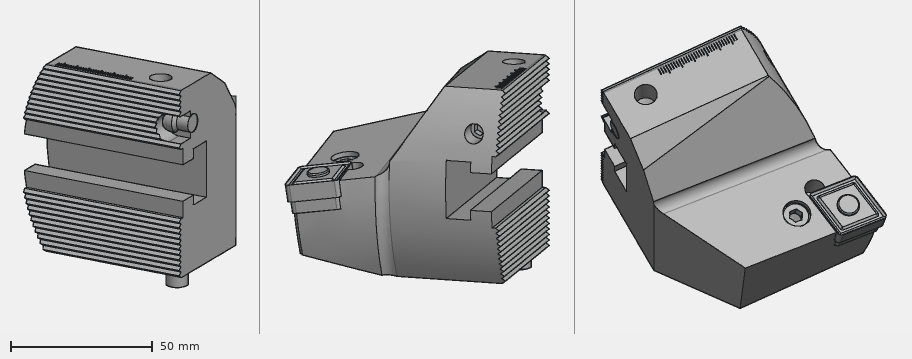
import cadquery as cq
import math

FAR = 115.4

HEIGHT = 70.2
TOP = HEIGHT / 2
BLOCK_DEPTH = 40.1
TOP_FLAT_END = 22.4
TOP_SLOPE = 0.69
HEAD_FRONT = 73.7
FRONT_LEAN = 0.058
HEAD_BOTTOM_RISE = 0.28
FRONT_CORNER_CHAMFER = 1.15
FRONT_CORNER_POINT = (-70.75, 72.3, -15.4)
END_CHAMFER_ANGLE = 29.7
END_CHAMFER_START = 40.3

TOOTH_PITCH = 2.0
TOOTH_DEPTH = 1.3
TOOTH_COUNT = 11
EDGE_BREAK_START = 1.9
EDGE_BREAK_DROP = 0.15

LIP_FACE = 2.6
SLOT_THROAT = 13.7
THROAT_DEPTH = 10.3
SLOT_WIDTH = 21.1
SLOT_DEPTH = 19.3

ROUND_CENTRE_X = 1.45
BLOCK_RADIUS = 66.2
HEAD_RADIUS = 69.6
HEAD_RADIUS_START = 44.2
HEAD_FLARE = 0.16

SIDE_TILT = math.tan(math.radians(7.4))
BACK_TILT = math.tan(math.radians(6.4))
RAKE_START = 43.85
RAKE_LEVEL = 12.8
SHOULDER_TOP = 17.2
SHOULDER_SLOPE = math.tan(math.radians(54.8))

INSERT_X, INSERT_Y = -63.6, 66.2
INSERT_CIRCLE = 19.1
INSERT_ANGLE = 80.0
INSERT_THICKNESS = 6.4
INSERT_CORNER = 1.6
INSERT_PROUD = 0.6
RIM_WIDTH = 0.2
GROOVE_WIDTH = 2.6
GROOVE_DEPTH = 0.6
GROOVE_ANGLE = 55.0
SHIM_THICKNESS = 4.7
SHIM_SETBACK = 0.8
SHIM_CIRCLE = INSERT_CIRCLE - 2 * SHIM_SETBACK
LEVER_DIAMETER = 7.9
LEVER_PROUD = 1.2
LEVER_CHAMFER = 0.45
RELIEF_DIAMETER = 7.2
RELIEF_X, RELIEF_Y = -55.9, 55.8

SCREW_X, SCREW_Y = -45.7, 61.75
SCREW_HOLE = 9.9
SCREW_DIAMETER = 9.0
SCREW_RECESS = 1.8
SCREW_LENGTH = 16.9
SCREW_SOCKET = 4.45
SCREW_SOCKET_DEPTH = 3.1

BORE_Y, BORE_Z = 9.85, 20.2
SET_SCREW_DIAMETER = 6.8
SET_SCREW_START = -53.8
SET_SCREW_LENGTH = 15.4
SET_SCREW_SOCKET = 4.2
SET_SCREW_SOCKET_DEPTH = 3.85
SOCKET_TURN = 30.0
BOLT_END = -0.2
BOLT_TIP_DIAMETER = 6.8
BOLT_TIP_LENGTH = 4.6
BOLT_CONE_LENGTH = 1.3
BOLT_HEAD_DIAMETER = 9.0
BOLT_HEAD_LENGTH = 3.7
BOLT_SHANK_DIAMETER = 6.8
BOLT_SHANK_LENGTH = 8.45
BOLT_POCKET_WIDTH = 10.2
BOLT_POCKET_X = -4.8
BOLT_POCKET_DEPTH = 8.0

DRILL_X, DRILL_Y = -12.85, 9.3
DRILL_DIAMETER = 8.0
DRILL_DEPTH = 10.2
DRILL_POINT_ANGLE = 118.0
PIN_X, PIN_Y = -6.0, 9.0
PIN_DIAMETER = 8.0
PIN_PROUD = 6.7
PIN_DOME = 1.0
PIN_SEAT = 11.5

TICK_PITCH = 1.0
TICK_COUNT = 31
TICK_FIRST_X = -51.45
TICK_START_Y = 2.4
TICK_LENGTH = 2.3
LONG_TICK_LENGTH = 3.2
LONG_TICK_EVERY = 5
FIRST_LONG_TICK = 2
TICK_WIDTH = 0.2
TICK_DEPTH = 0.15



def rake_level(x, y):
    """Z of the inclined rake face."""
    return RAKE_LEVEL + SIDE_TILT * x - BACK_TILT * (y - RAKE_START)


def rake_plane(x, y):
    """Plane lying on the rake face, with its local x parallel to the XZ plane."""
    origin = (x, y, rake_level(x, y))
    return cq.Plane(origin=origin, xDir=(1, 0, SIDE_TILT), normal=(-SIDE_TILT, BACK_TILT, 1))


def tilted_side_plane():
    """Plane for side outlines that rise along X with the rake face."""
    return cq.Plane(origin=(0, 0, 0), xDir=(0, 1, 0), normal=(1, 0, SIDE_TILT))


def bore_plane(x):
    """Plane across the X bore, facing +X."""
    return cq.Plane(origin=(x, BORE_Y, BORE_Z), xDir=(0, 1, 0), normal=(1, 0, 0))




def teeth(top):
    """Serration points from the given height downwards: valley, tip, ..., valley."""
    points = []
    for i in range(TOOTH_COUNT):
        valley = top - i * TOOTH_PITCH
        points.append((TOOTH_DEPTH, valley))
        points.append((0, valley - TOOTH_PITCH / 2))
    points.append((TOOTH_DEPTH, top - TOOTH_COUNT * TOOTH_PITCH))
    return points


def side_profile():
    """Outline in Y and Z, before the shoulder, rake face and head front are cut."""
    first_valley = TOP - EDGE_BREAK_DROP
    lip = first_valley - TOOTH_COUNT * TOOTH_PITCH
    throat = SLOT_THROAT / 2
    slot = SLOT_WIDTH / 2
    slot_points = [
        (LIP_FACE, lip), (LIP_FACE, throat), (THROAT_DEPTH, throat), (THROAT_DEPTH, slot),
        (SLOT_DEPTH, slot), (SLOT_DEPTH, -slot), (THROAT_DEPTH, -slot), (THROAT_DEPTH, -throat),
        (LIP_FACE, -throat), (LIP_FACE, -lip),
    ]
    blank_end = 2 * BLOCK_DEPTH
    bottom_end = -TOP + HEAD_BOTTOM_RISE * (blank_end - BLOCK_DEPTH)
    slope_end = TOP - TOP_SLOPE * (BLOCK_DEPTH - TOP_FLAT_END)
    outer_points = [
        (BLOCK_DEPTH, -TOP),
        (blank_end, bottom_end),
        (blank_end, slope_end),
        (BLOCK_DEPTH, slope_end),
        (TOP_FLAT_END, TOP),
        (EDGE_BREAK_START, TOP),
    ]
    return teeth(first_valley) + slot_points + teeth(-lip) + [(EDGE_BREAK_START, -TOP)] + outer_points


def rounded_side():
    """Turned envelope about an axis parallel to Y that rounds the -X side."""
    end = 2 * BLOCK_DEPTH
    end_radius = HEAD_RADIUS + HEAD_FLARE * (end - HEAD_RADIUS_START)
    outline = (
        cq.Workplane("XY")
        .lineTo(BLOCK_RADIUS, 0)
        .lineTo(BLOCK_RADIUS, BLOCK_DEPTH)
        .tangentArcPoint((HEAD_RADIUS, HEAD_RADIUS_START), relative=False)
        .lineTo(end_radius, end)
        .lineTo(0, end)
        .close()
    )
    return outline.revolve(360, (0, 0), (0, 1)).translate((ROUND_CENTRE_X, 0, 0))


def shoulder_cut():
    """Everything above the rake face and the sloping shoulder, tilted along X."""
    cosine = 1 / math.hypot(1, SIDE_TILT)
    lean = math.atan(BACK_TILT * cosine)
    radius = (RAKE_START - BLOCK_DEPTH) / (1 - math.sin(lean))
    rake_start = RAKE_LEVEL * cosine
    centre_y = BLOCK_DEPTH + radius
    centre_z = rake_start + radius * math.cos(lean)
    wall_side = math.pi
    rake_side = 1.5 * math.pi - lean
    middle = (wall_side + rake_side) / 2
    wall_top = SHOULDER_TOP * cosine
    rake_end = rake_start - math.tan(lean) * (FAR - RAKE_START)
    return (
        cq.Workplane(tilted_side_plane())
        .moveTo(BLOCK_DEPTH, wall_top)
        .lineTo(BLOCK_DEPTH, centre_z)
        .threePointArc(
            (centre_y + radius * math.cos(middle), centre_z + radius * math.sin(middle)),
            (RAKE_START, rake_start),
        )
        .lineTo(FAR, rake_end)
        .lineTo(FAR, FAR)
        .lineTo(BLOCK_DEPTH - (FAR - wall_top) / SHOULDER_SLOPE, FAR)
        .close()
        .extrude(FAR, both=True)
    )


def front_cut():
    """Everything in front of the leaning head front, tilted along X like the rake face."""
    rake_front = rake_level(0, HEAD_FRONT) / math.hypot(1, SIDE_TILT)
    corners = [
        (HEAD_FRONT - FRONT_LEAN * (rake_front + FAR), -FAR),
        (HEAD_FRONT + FRONT_LEAN * (FAR - rake_front), FAR),
        (2 * FAR, FAR),
        (2 * FAR, -FAR),
    ]
    return cq.Workplane(tilted_side_plane()).polyline(corners).close().extrude(FAR, both=True)


def end_chamfer_cut():
    """Slanted cut across the head's +X side."""
    run = FAR - END_CHAMFER_START
    inset = run * math.tan(math.radians(END_CHAMFER_ANGLE))
    corners = [(0, END_CHAMFER_START), (FAR, END_CHAMFER_START), (FAR, FAR), (-inset, FAR)]
    return cq.Workplane("XY").polyline(corners).close().extrude(FAR, both=True)


def bolt_pocket():
    """Round-ended pocket in the serrated face, open at the +X end."""
    depth_plane = cq.Plane(origin=(BOLT_POCKET_X, 0, BORE_Z), xDir=(1, 0, 0), normal=(0, 1, 0))
    round_end = cq.Workplane(depth_plane).circle(BOLT_POCKET_WIDTH / 2).extrude(BOLT_POCKET_DEPTH)
    run_out = (
        cq.Workplane(depth_plane)
        .rect(-2 * BOLT_POCKET_X, BOLT_POCKET_WIDTH)
        .extrude(BOLT_POCKET_DEPTH)
        .translate((-BOLT_POCKET_X, 0, 0))
    )
    return round_end.union(run_out)


def drilled_hole():
    """Hole drilled from the top, whose conical end reaches the bolt shank."""
    radius = DRILL_DIAMETER / 2
    cone_start = TOP - DRILL_DEPTH
    cone_length = radius / math.tan(math.radians(DRILL_POINT_ANGLE / 2))
    straight = (
        cq.Workplane("XY").workplane(offset=cone_start).center(DRILL_X, DRILL_Y)
        .circle(radius).extrude(DRILL_DEPTH)
    )
    cone = cq.Solid.makeCone(
        radius, 0, cone_length, cq.Vector(DRILL_X, DRILL_Y, cone_start), cq.Vector(0, 0, -1)
    )
    return straight.union(cq.Workplane(cone))


def graduation():
    """Engraved scale lines on the top, every fifth one longer."""
    lines = cq.Workplane("XY")
    for i in range(TICK_COUNT):
        is_long = i % LONG_TICK_EVERY == FIRST_LONG_TICK
        length = LONG_TICK_LENGTH if is_long else TICK_LENGTH
        line = cq.Workplane("XY").box(TICK_WIDTH, length, 2 * TICK_DEPTH)
        place = (TICK_FIRST_X + i * TICK_PITCH, TICK_START_Y + length / 2, TOP)
        lines = lines.add(line.translate(place))
    return lines.combine()


def seat(circle, floor):
    """Space above a floor, open to -X and +Y, walled along two sides of an insert outline."""
    half = circle / 2
    lean = 1 / math.tan(math.radians(INSERT_ANGLE))
    side = circle / math.sin(math.radians(INSERT_ANGLE))
    corners = [
        (side / 2 + half * lean, -half), (side / 2 - circle * lean, circle),
        (-2 * side, circle), (-2 * side, -half),
    ]
    plane = rake_plane(INSERT_X, INSERT_Y)
    return cq.Workplane(plane).workplane(offset=floor).polyline(corners).close().extrude(circle)


def insert_pocket():
    """Stepped seat for the shim and the insert, with a relief hole at its inner corner."""
    insert_floor = INSERT_PROUD - INSERT_THICKNESS
    floor = insert_floor - SHIM_THICKNESS
    steps = seat(INSERT_CIRCLE, insert_floor).union(seat(SHIM_CIRCLE, floor))
    relief = (
        cq.Workplane(rake_plane(RELIEF_X, RELIEF_Y)).workplane(offset=floor)
        .circle(RELIEF_DIAMETER / 2).extrude(INSERT_CIRCLE)
    )
    return steps.union(relief)


def lever_screw_hole():
    return (
        cq.Workplane(rake_plane(SCREW_X, SCREW_Y))
        .circle(SCREW_HOLE / 2).extrude(-SCREW_RECESS)
        .circle(SCREW_DIAMETER / 2).extrude(-SCREW_RECESS - SCREW_LENGTH)
    )


def set_screw_hole():
    end = SET_SCREW_START + SET_SCREW_LENGTH
    return cq.Workplane(bore_plane(end)).circle(SET_SCREW_DIAMETER / 2).extrude(-FAR)


def pin_hole():
    return (
        cq.Workplane("XY").workplane(offset=-TOP).center(PIN_X, PIN_Y)
        .circle(PIN_DIAMETER / 2).extrude(PIN_SEAT)
    )


def bolt_hole():
    """Bore matching the stop bolt, left open at the +X end."""
    outlet = cq.Workplane(bore_plane(BOLT_END)).circle(BOLT_TIP_DIAMETER / 2).extrude(-2 * BOLT_END)
    return make_stop_bolt().union(outlet)


def make_holder():
    blank = cq.Workplane("YZ").polyline(side_profile()).close().extrude(-FAR)
    body = blank.intersect(rounded_side())
    body = body.cut(shoulder_cut()).cut(front_cut()).cut(end_chamfer_cut())
    corner = cq.selectors.NearestToPointSelector(FRONT_CORNER_POINT)
    body = body.edges(corner).chamfer(FRONT_CORNER_CHAMFER)
    body = body.cut(bolt_pocket()).cut(bolt_hole()).cut(drilled_hole())
    body = body.cut(set_screw_hole()).cut(pin_hole())
    body = body.cut(insert_pocket()).cut(lever_screw_hole())
    return body.cut(graduation())




def rhombus(level, circle):
    """Insert-shaped outline around an inscribed circle, at a height above the rake face."""
    half = circle / 2
    lean = 1 / math.tan(math.radians(INSERT_ANGLE))
    half_side = half / math.sin(math.radians(INSERT_ANGLE))
    corner_lean = half * lean
    corners = [
        (half_side + corner_lean, -half),
        (half_side - corner_lean, half),
        (-half_side - corner_lean, half),
        (-half_side + corner_lean, -half),
    ]
    plane = rake_plane(INSERT_X, INSERT_Y)
    return cq.Workplane(plane).workplane(offset=level).polyline(corners).close()


def lever_hole():
    return (
        cq.Workplane(rake_plane(INSERT_X, INSERT_Y))
        .circle(LEVER_DIAMETER / 2).extrude(INSERT_CIRCLE, both=True)
    )


def make_insert():
    blank = rhombus(INSERT_PROUD, INSERT_CIRCLE).extrude(-INSERT_THICKNESS)
    plane = rake_plane(INSERT_X, INSERT_Y)
    blank = blank.edges(cq.selectors.ParallelDirSelector(plane.zDir)).fillet(INSERT_CORNER)
    outer = INSERT_CIRCLE - 2 * RIM_WIDTH
    inner = outer - 2 * GROOVE_WIDTH
    bowl = rhombus(INSERT_PROUD, outer).extrude(-GROOVE_DEPTH, taper=GROOVE_ANGLE)
    plateau = rhombus(INSERT_PROUD, inner).extrude(-GROOVE_DEPTH, taper=-GROOVE_ANGLE)
    return blank.cut(bowl.cut(plateau)).cut(lever_hole())


def make_shim():
    top = INSERT_PROUD - INSERT_THICKNESS
    plane = rake_plane(INSERT_X, INSERT_Y)
    blank = rhombus(top, SHIM_CIRCLE).extrude(-SHIM_THICKNESS)
    blank = blank.edges(cq.selectors.ParallelDirSelector(plane.zDir)).fillet(INSERT_CORNER)
    return blank.cut(lever_hole())


def make_lever():
    floor = INSERT_PROUD - INSERT_THICKNESS - SHIM_THICKNESS
    length = INSERT_PROUD + LEVER_PROUD - floor
    return (
        cq.Workplane(rake_plane(INSERT_X, INSERT_Y)).workplane(offset=floor)
        .circle(LEVER_DIAMETER / 2).extrude(length)
        .faces(">Z").chamfer(LEVER_CHAMFER)
    )




def make_lever_screw():
    """Screw with a hexagon socket that ends in a drilled cone."""
    head = cq.Workplane(rake_plane(SCREW_X, SCREW_Y)).workplane(offset=-SCREW_RECESS)
    screw = head.circle(SCREW_DIAMETER / 2).extrude(-SCREW_LENGTH)
    across_corners = SCREW_SOCKET / math.cos(math.pi / 6)
    socket = head.polygon(6, across_corners).extrude(-SCREW_SOCKET_DEPTH)
    socket_end = head.workplane(offset=-SCREW_SOCKET_DEPTH).plane
    cone = cq.Solid.makeCone(
        SCREW_SOCKET / 2, 0, SCREW_SOCKET / 2, socket_end.origin, socket_end.zDir * -1
    )
    return screw.cut(socket).cut(cq.Workplane(cone))


def make_set_screw():
    face = cq.Workplane(bore_plane(SET_SCREW_START))
    across_corners = SET_SCREW_SOCKET / math.cos(math.pi / 6)
    socket = (
        face.transformed(rotate=(0, 0, SOCKET_TURN))
        .polygon(6, across_corners).extrude(SET_SCREW_SOCKET_DEPTH)
    )
    return face.circle(SET_SCREW_DIAMETER / 2).extrude(SET_SCREW_LENGTH).cut(socket)


def make_stop_bolt():
    """Turned bolt: shank, thicker head, cone and tip, from -X to +X."""
    tip_start = BOLT_END - BOLT_TIP_LENGTH
    cone_start = tip_start - BOLT_CONE_LENGTH
    head_start = cone_start - BOLT_HEAD_LENGTH
    shank_start = head_start - BOLT_SHANK_LENGTH
    outline = [
        (shank_start, 0), (shank_start, BOLT_SHANK_DIAMETER / 2),
        (head_start, BOLT_SHANK_DIAMETER / 2), (head_start, BOLT_HEAD_DIAMETER / 2),
        (cone_start, BOLT_HEAD_DIAMETER / 2), (tip_start, BOLT_TIP_DIAMETER / 2),
        (BOLT_END, BOLT_TIP_DIAMETER / 2), (BOLT_END, 0),
    ]
    turned = cq.Workplane("XY").polyline(outline).close().revolve(360, (0, 0), (1, 0))
    return turned.translate((0, BORE_Y, BORE_Z))


def make_pin():
    """Locating pin with a domed lower end."""
    radius = PIN_DIAMETER / 2
    dome_start = -TOP - PIN_PROUD + PIN_DOME
    dome_radius = (radius**2 + PIN_DOME**2) / (2 * PIN_DOME)
    middle = radius / 2
    middle_sag = dome_radius - math.sqrt(dome_radius**2 - middle**2)
    outline = (
        cq.Workplane("XZ")
        .moveTo(0, -TOP - PIN_PROUD)
        .threePointArc((middle, -TOP - PIN_PROUD + middle_sag), (radius, dome_start))
        .lineTo(radius, -TOP + PIN_SEAT)
        .lineTo(0, -TOP + PIN_SEAT)
        .close()
    )
    return outline.revolve(360, (0, 0), (0, 1)).translate((PIN_X, PIN_Y, 0))



holder = make_holder()
insert = make_insert()
shim = make_shim()
lever = make_lever()
lever_screw = make_lever_screw()
set_screw = make_set_screw()
stop_bolt = make_stop_bolt()
pin = make_pin()

result = cq.Compound.makeCompound([
    holder.val(),
    insert.val(),
    shim.val(),
    lever.val(),
    lever_screw.val(),
    set_screw.val(),
    stop_bolt.val(),
    pin.val(),
])